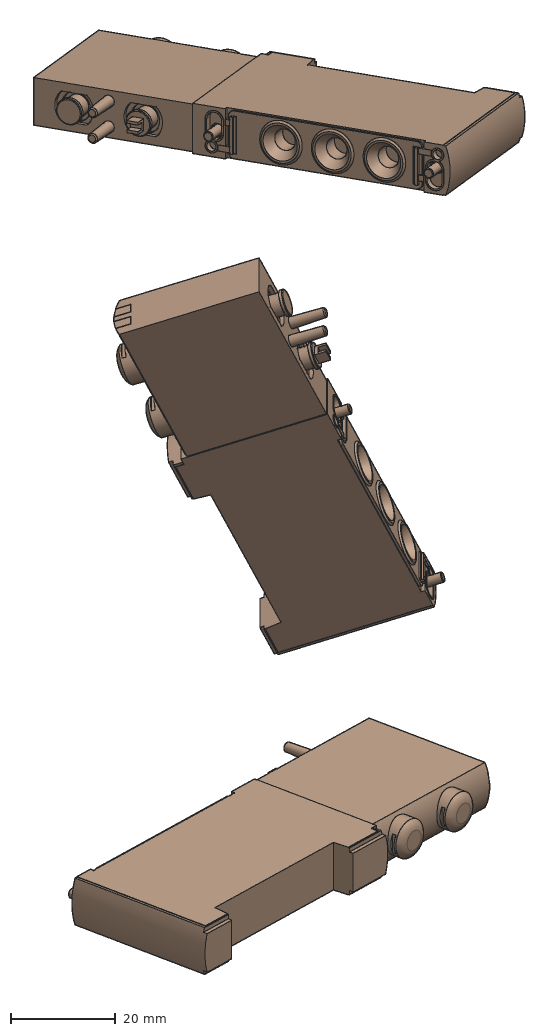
import cadquery as cq

length = 88.5
valve_half_z = 5.1
pilot_half_z = 4.9
pilot_length = 33.9

pilot_rear_y = 30.1
pilot_rear_edge_y = 28.85
window_front_y = 26.55
window_depth = 0.1
window_z = 1.73
window_height = 2.1

button_xs = (11.8, 26.5)
button_root_y = 26.55
button_tip_y = 33.3
button_shoulder_y = 32.1
button_dome_mid = (3.1, 33.0)
button_dia = 8.1
button_flat_dia = 4.2
notch_half_x = 3.5
notch_y = (30.9, 31.7)

plug_xs = (8.6, 23.3)
pocket_dia = 8.1
pocket_height = 6.1
pocket_depth = 0.9
plug_bore_depth = 1.8
plug_dia = 4.5
plug_head_dia = 5.3
plug_head_length = 0.8
plug_projection = 2.4
plug_chamfer = 0.2

blade_tip_y = -4.8
blade_web_y = -3.1
blade_width = 2.4
blade_inner_z = 0.66
blade_outer_z = 1.2

pin_x = 15.9
pin_z = 2.61
pin_root_dia = 2.4
pin_tip_dia = 2.0
pin_projection = 7.35
pin_chamfer = 0.3

valve_front_y = -0.3
valve_base_rear_y = 32.0
valve_rear_y = 32.9
rear_band_half_z = 4.2
end_bulge = 1.0
end_notch_y = 30.1
edge_step_depth = 0.1
edge_step_x = 0.5
edge_step_y = 0.3
saddle_y = 28.3
saddle_x_bottom = (44.6, 80.0)
saddle_x_top = (44.25, 80.5)

plate_center_x = 61.9
recess_length = 42.1
recess_floor_y = 0.5
plate_length = 41.1
plate_half_z = 4.9
plate_corner = 1.15
port_pitch = 11.0
port_mid_x = 63.45
port_base_dia = 9.0
port_rim_dia = 8.1
port_rim_y = -0.35
port_mouth_dia = 7.3
port_bore_dia = 4.3
port_cone_y = 1.8
port_floor_y = 5.3

screw_x = 38.5
slot_dia = 3.9
slot_travel = 2.5
slot_wall = 0.35
eye_x = 37.9
eye_z = -3.0
eye_dia = 2.65
rim_y = -0.35
slot_floor_y = 1.1
clip_x = 41.95
clip_bar_width = 0.6
clip_foot_width = 1.15
clip_half_z = 3.8
clip_bar_y = -0.7
clip_foot_y = -0.3
arm_y = -0.35
arm_height = 1.2
upper_arm_z = 2.4
lower_arm_z = -3.1
upper_arm_x = 40.8
lower_arm_x = 39.2

screw_dia = 2.0
screw_tip_y = -3.1
screw_root_y = 7.1
screw_chamfer = 0.2
screw_clearance_dia = 2.65
screw_clearance_depth = 0.4


def box(x0, x1, y0, y1, z0, z1):
    """Box between two opposite corners."""
    return cq.Workplane("XY").box(x1 - x0, y1 - y0, z1 - z0, centered=False).translate((x0, y0, z0))


def turned(x, z, profile):
    """Solid of revolution about the Y line through (x, z), from (radius, y) corners."""
    outline = cq.Workplane("XY").polyline(profile).close()
    return outline.revolve(360, (0, 0), (0, 1)).translate((x, 0, z))


def rod(x, z, dia, y0, y1):
    """Round bar along Y."""
    return turned(x, z, [(0, y0), (dia / 2, y0), (dia / 2, y1), (0, y1)])


def slot_bar(x, z0, z1, dia, y0, y1):
    """Bar along Y with a slot-shaped section running from z0 to z1."""
    middle = box(x - dia / 2, x + dia / 2, y0, y1, z0, z1)
    return middle.union(rod(x, z0, dia, y0, y1)).union(rod(x, z1, dia, y0, y1))


def half_turned(shape):
    """The shape turned by 180 degrees about the Y line through the middle of the plate."""
    return shape.rotate((plate_center_x, 0, 0), (plate_center_x, 1, 0), 180)


def pilot_block():
    return (
        cq.Workplane("YZ")
        .moveTo(0, -pilot_half_z)
        .lineTo(pilot_rear_edge_y, -pilot_half_z)
        .threePointArc((pilot_rear_y, 0), (pilot_rear_edge_y, pilot_half_z))
        .lineTo(0, pilot_half_z)
        .close()
        .extrude(pilot_length)
    )


def button(x):
    """Domed push button with a flat notch on each side."""
    radius = button_dia / 2
    body = (
        cq.Workplane("XY")
        .moveTo(0, button_root_y)
        .lineTo(radius, button_root_y)
        .lineTo(radius, button_shoulder_y)
        .threePointArc(button_dome_mid, (button_flat_dia / 2, button_tip_y))
        .lineTo(0, button_tip_y)
        .close()
        .revolve(360, (0, 0), (0, 1))
    )
    for x0, x1 in ((-radius, -notch_half_x), (notch_half_x, radius)):
        body = body.cut(box(x0, x1, *notch_y, -radius, radius))
    return body.translate((x, 0, 0))


def plug_pocket(x):
    """Round pocket with flat top and bottom, and a deeper round bore inside it."""
    half_z = pocket_height / 2
    half_x = pocket_dia / 2
    flats = box(x - half_x, x + half_x, 0, pocket_depth, -half_z, half_z)
    pocket = rod(x, 0, pocket_dia, 0, pocket_depth).intersect(flats)
    return pocket.union(rod(x, 0, pocket_height, 0, plug_bore_depth))


def plug(x):
    """Headed plug standing on the floor of its pocket."""
    stem = rod(x, 0, plug_dia, -plug_projection, plug_bore_depth)
    head = rod(x, 0, plug_head_dia, -plug_projection, plug_head_length - plug_projection)
    return stem.union(head.faces("<Y").chamfer(plug_chamfer))


def blades(x):
    """Two flat blades joined by a shorter web."""
    x0 = x - blade_width / 2
    x1 = x + blade_width / 2
    bar = box(x0, x1, blade_tip_y, -plug_projection, -blade_outer_z, blade_outer_z)
    return bar.cut(box(x0, x1, blade_tip_y, blade_web_y, -blade_inner_z, blade_inner_z))


def contact_pin(z):
    """Slightly tapered pin with a chamfered tip."""
    profile = [
        (0, 0),
        (pin_root_dia / 2, 0),
        (pin_tip_dia / 2, pin_chamfer - pin_projection),
        (pin_tip_dia / 2 - pin_chamfer, -pin_projection),
        (0, -pin_projection),
    ]
    return turned(pin_x, z, profile)


def make_pilot():
    pilot = pilot_block()
    for side in (-1, 1):
        z0 = side * window_z - window_height / 2
        pilot = pilot.cut(box(0, window_depth, window_front_y, pilot_rear_y, z0, z0 + window_height))
        pilot = pilot.union(contact_pin(side * pin_z))
    for x in button_xs:
        pilot = pilot.union(button(x))
    for x in plug_xs:
        pilot = pilot.cut(plug_pocket(x)).union(plug(x))
    return pilot.union(blades(plug_xs[1]))


def bulged_slab(y0, y1, curved_start):
    """Full-length slab with a bulged far end and, if asked, a bulged pilot-side end."""
    slab = cq.Workplane("XZ", origin=(0, y1, 0)).moveTo(length - end_bulge, -valve_half_z)
    slab = slab.threePointArc((length, 0), (length - end_bulge, valve_half_z))
    if curved_start:
        start = pilot_length + end_bulge
        slab = slab.lineTo(start, valve_half_z)
        slab = slab.threePointArc((pilot_length, 0), (start, -valve_half_z))
    else:
        slab = slab.lineTo(pilot_length, valve_half_z).lineTo(pilot_length, -valve_half_z)
    return slab.close().extrude(y1 - y0)


def rear_edge_cut(side):
    """Stock beside the raised rear band, on the upper (1) or lower (-1) edge."""
    z0, z1 = sorted((side * rear_band_half_z, side * valve_half_z))
    return box(pilot_length, length, valve_base_rear_y, valve_rear_y, z0, z1)


def edge_step(side):
    """Shallow step along the rear and curved ends of the upper (1) or lower (-1) face."""
    z0, z1 = sorted((side * (valve_half_z - edge_step_depth), side * valve_half_z))
    inset = end_bulge + edge_step_x
    step_y = valve_base_rear_y - edge_step_y
    rear = box(pilot_length, length, step_y, valve_rear_y, z0, z1)
    far_end = box(length - inset, length, valve_front_y, valve_rear_y, z0, z1)
    near_end = box(pilot_length, pilot_length + inset, end_notch_y, valve_rear_y, z0, z1)
    return rear.union(far_end).union(near_end)


def saddle():
    """Wide opening in the rear, between two posts with slightly sloped sides."""
    corners = [
        (saddle_x_bottom[0], saddle_y),
        (saddle_x_bottom[1], saddle_y),
        (saddle_x_top[1], valve_rear_y),
        (saddle_x_top[0], valve_rear_y),
    ]
    outline = cq.Workplane("XY").workplane(offset=-valve_half_z).polyline(corners).close()
    return outline.extrude(2 * valve_half_z)


def front_recess():
    half = recess_length / 2
    x0 = plate_center_x - half
    x1 = plate_center_x + half
    return box(x0, x1, valve_front_y, recess_floor_y, -valve_half_z, valve_half_z)


def port_plate():
    half = plate_length / 2
    x0 = plate_center_x - half
    x1 = plate_center_x + half
    plate = box(x0, x1, 0, recess_floor_y, -plate_half_z, plate_half_z)
    return plate.edges("|Y").fillet(plate_corner)


def port_rim(x):
    """Raised ring with a sloped outer side."""
    profile = [(0, 0), (port_base_dia / 2, 0), (port_rim_dia / 2, port_rim_y), (0, port_rim_y)]
    return turned(x, 0, profile)


def port_hole(x):
    """Blind bore with a conical mouth."""
    profile = [
        (0, port_rim_y),
        (port_mouth_dia / 2, port_rim_y),
        (port_bore_dia / 2, port_cone_y),
        (port_bore_dia / 2, port_floor_y),
        (0, port_floor_y),
    ]
    return turned(x, 0, profile)


def slot_rim():
    """Raised border around the screw slot and the small round eye next to it."""
    slot = slot_bar(screw_x, 0, slot_travel, slot_dia, rim_y, 0)
    return slot.union(rod(eye_x, eye_z, eye_dia, rim_y, 0))


def slot_pocket():
    """Slot and eye inside the border, and the clearance hole around the screw."""
    slot = slot_bar(screw_x, 0, slot_travel, slot_dia - 2 * slot_wall, rim_y, slot_floor_y)
    eye = rod(eye_x, eye_z, eye_dia - 2 * slot_wall, rim_y, slot_floor_y)
    clearance_end = slot_floor_y + screw_clearance_depth
    clearance = rod(screw_x, 0, screw_clearance_dia, slot_floor_y, clearance_end)
    return slot.union(eye).union(clearance)


def clip():
    """Upright bar on a wider foot, held by two arms that reach to the screw slot."""
    bar = box(clip_x, clip_x + clip_bar_width, clip_bar_y, 0, -clip_half_z, clip_half_z)
    foot = box(clip_x, clip_x + clip_foot_width, clip_foot_y, 0, -clip_half_z, clip_half_z)
    holder = bar.union(foot)
    for x, z in ((upper_arm_x, upper_arm_z), (lower_arm_x, lower_arm_z)):
        z0 = z - arm_height / 2
        holder = holder.union(box(x, clip_x, arm_y, recess_floor_y, z0, z0 + arm_height))
    return holder


def make_screw():
    screw = rod(screw_x, 0, screw_dia, screw_tip_y, screw_root_y)
    return screw.faces("<Y").chamfer(screw_chamfer)


def make_housing():
    housing = bulged_slab(valve_front_y, end_notch_y, False)
    housing = housing.union(bulged_slab(end_notch_y, valve_rear_y, True))
    for side in (-1, 1):
        housing = housing.cut(rear_edge_cut(side)).cut(edge_step(side))
    housing = housing.cut(saddle()).cut(front_recess()).union(port_plate())
    for step in (-1, 0, 1):
        port_x = port_mid_x + step * port_pitch
        housing = housing.union(port_rim(port_x)).cut(port_hole(port_x))
    screw_seat = rod(screw_x, 0, screw_dia, slot_floor_y, screw_root_y)
    raised = slot_rim().union(clip())
    hollow = slot_pocket().union(screw_seat)
    housing = housing.union(raised).union(half_turned(raised))
    return housing.cut(hollow).cut(half_turned(hollow))


pilot = make_pilot()
housing = make_housing()
screws = [make_screw(), half_turned(make_screw())]

result = cq.Compound.makeCompound([pilot.val(), housing.val(), *[screw.val() for screw in screws]])